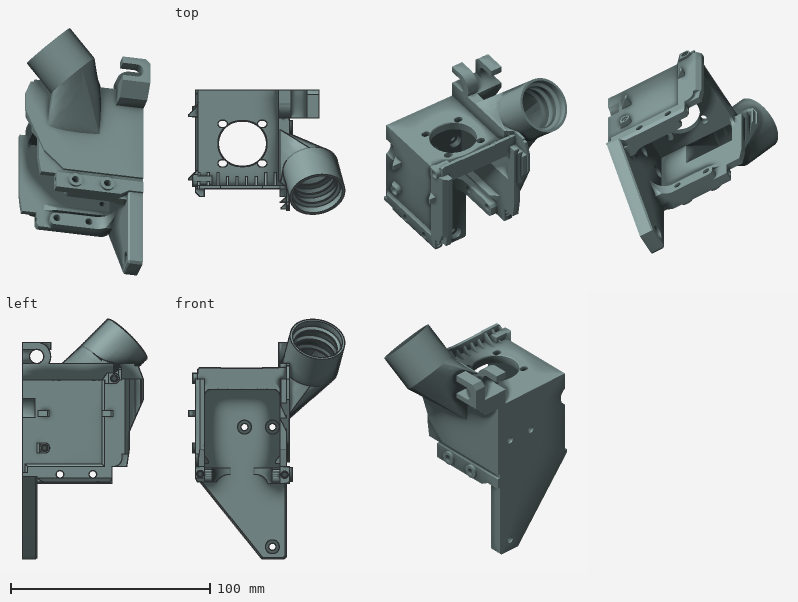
import cadquery as cq
import math


WALL_IN_L = 4.5
WALL_IN_R = 42.3
PANEL_X = 1.4
WALL_OUT_R = 45.7
FLANGE_OUT = 47.1
PLATE_T = 7.4
PLATE_FOOT = -0.25
PLATE_CHAMFER = 0.8
PLATE_SHOULDER_Z = 41.2
NOTCH_Z = 43.2
ROOF_TOP = 89.4
ROOF_BOTTOM = 84.8
LINTEL_TOP = 95.7
LINTEL_BACK = -48.1
LINTEL_FRONT = -49.7
POST_FRONT = -53.6
POST_TOP = 89.9
FLANGE_FRONT = -60.6
POST_TAPER_Z = 54.6
POST_FOOT_FRONT = -52.3
WALL_BOTTOM = 46.1
SILL_FRONT = -44.9
SILL_BOTTOM_L = 38.4
SILL_BACK_Z = 40.3
SILL_BOTTOM_R = 37.7
CREST_TOP = 97.8
CREST_LEFT = 41.7
CREST_FRONT = -48.7
CREST_BEVEL_Y = -45.6

FAN_X, FAN_Y = 23.6, -27.0
FAN_D = 22.4
FAN_STRETCH = 1.6
FAN_CHAMFER = 0.4
FAN_SCREW_OFFSET = 9.9
FAN_SCREW_D = 3.5
FAN_SCREW_STRETCH = 1.2

MOUNT_D, MOUNT_HEAD_D, MOUNT_HEAD_DEPTH = 3.5, 7.0, 3.0
MOUNT_POINTS = [(24.6, 65.9), (38.6, 65.9), (38.6, 5.9)]

PIVOT_D = 3.7
PIVOT_BOSS_D = 7.0
PIVOT_BOSS_L = 1.5
PIVOT_Y = [-18.8, -35.3]
PIVOT_Z = 42.2
BAR_T = 3.9

INSERT_D, INSERT_HOLE_D, INSERT_LEAD_D = 5.2, 2.6, 3.7
INSERT_LEAD_DEPTH, INSERT_DEPTH = 1.0, 6.0
INSERT_FACE_X = -1.45
ROOF_INSERT = (-46.0, 90.3)
WALL_INSERT = (-11.1, 55.4)
SILL_INSERTS = [(2.4, 42.4), (44.75, 42.0)]

HOSE_D, HOSE_BORE, THREAD_D, THROAT_D = 28.0, 25.5, 22.0, 24.6
HOSE_L = 19.5
DUCT_WALL = 1.5
HOSE_TILT = 15.0
RIM = cq.Vector(61.2, -52.4, 109.95)
AXIS = cq.Vector(math.tan(math.radians(HOSE_TILT)), -1, 1).normalized()

CLIP_Y, CLIP_Z = -7.1, 101.3
CLIP_R, CLIP_BORE_R = 7.1, 3.5
CLIP_W = 6.1
CLIP_CORNER = 2.4
CLIP_END = 62.0


def box(x0, x1, y0, y1, z0, z1):
    return cq.Workplane("XY").box(x1 - x0, y1 - y0, z1 - z0, centered=False).translate((x0, y0, z0))


def along_x(points, x0, x1):
    """Prism along X from an outline of (y, z) points."""
    return cq.Workplane("YZ", origin=(x0, 0, 0)).polyline(points).close().extrude(x1 - x0)


def along_y(points, y0, y1):
    """Prism along Y from an outline of (x, z) points, y1 nearer the front."""
    return cq.Workplane("XZ", origin=(0, y0, 0)).polyline(points).close().extrude(y0 - y1)


def along_z(points, z0, z1):
    """Prism along Z from an outline of (x, y) points."""
    return cq.Workplane("XY", origin=(0, 0, z0)).polyline(points).close().extrude(z1 - z0)


def rod_x(diameter, y, z, x0, x1):
    return cq.Workplane("YZ", origin=(x0, y, z)).circle(diameter / 2).extrude(x1 - x0)


def rod_y(diameter, x, z, y0, length):
    """Cylinder from y0 toward the back."""
    return cq.Workplane("XZ", origin=(x, y0, z)).circle(diameter / 2).extrude(-length)


def mounting_plate():
    corner = 1.2
    foot_left = 33.3
    outline = [
        (PANEL_X, ROOF_TOP), (PANEL_X, NOTCH_Z), (0, NOTCH_Z), (0, PLATE_SHOULDER_Z),
        (foot_left, PLATE_FOOT), (WALL_OUT_R - corner, PLATE_FOOT), (WALL_OUT_R, PLATE_FOOT + corner),
        (WALL_OUT_R, ROOF_TOP),
    ]
    plate = along_y(outline, 0, -PLATE_T)
    return plate.faces("<Y").chamfer(PLATE_CHAMFER)


def left_wall():
    """Side wall with a recessed outer panel framed by the front post and the sill."""
    bevel = PANEL_X
    frame_back = -41.2
    notch_y = -2.6
    side = along_x(wall_outline(), 0, WALL_IN_L)
    nose = 2.2
    plan = along_z([(PANEL_X, 0), (PANEL_X, frame_back + bevel), (0, frame_back), (0, POST_FRONT + nose),
                    (nose, POST_FRONT), (WALL_IN_L, POST_FRONT), (WALL_IN_L, 0)], WALL_BOTTOM, POST_TOP)
    wall = side.intersect(plan).cut(post_foot_relief())

    bevel_top = WALL_BOTTOM + bevel
    lip = 1.0
    sill = along_y([(0, WALL_BOTTOM), (PANEL_X, bevel_top), (WALL_IN_L, bevel_top),
                    (WALL_IN_L, SILL_BOTTOM_L), (lip, SILL_BOTTOM_L), (0, SILL_BACK_Z)], 0, SILL_FRONT)
    sill = sill.cut(along_z([(0, 0), (PANEL_X, 0), (PANEL_X, notch_y + bevel), (0, notch_y)],
                            NOTCH_Z, bevel_top))
    sill = sill.cut(along_x([(0, PLATE_SHOULDER_Z), (-PLATE_T, PLATE_SHOULDER_Z), (-PLATE_T, SILL_BACK_Z),
                             (-10.2, SILL_BOTTOM_L), (0, SILL_BOTTOM_L)], 0, WALL_IN_L))
    sill = sill.cut(along_x([(SILL_FRONT, SILL_BACK_Z), (SILL_FRONT + lip, SILL_BOTTOM_L),
                             (SILL_FRONT, SILL_BOTTOM_L)], 0, WALL_IN_L))
    return wall.union(sill)


def post_foot_relief():
    """Shallow recess with a rounded inner corner at the foot of the left post."""
    depth, top, back, r = 1.5, 52.3, -49.9, 4.4
    mid = r * math.sqrt(0.5)
    return (cq.Workplane("YZ").moveTo(POST_FRONT, top).lineTo(back, top)
            .lineTo(back, WALL_BOTTOM + r)
            .threePointArc((back + r - mid, WALL_BOTTOM + r - mid), (back + r, WALL_BOTTOM))
            .lineTo(POST_FRONT, WALL_BOTTOM).close().extrude(depth))


def wall_outline():
    """Side profile (y, z) of a side wall with its tapered front post."""
    return [(0, ROOF_TOP), (LINTEL_FRONT, ROOF_TOP), (LINTEL_FRONT, POST_TOP), (POST_FRONT, POST_TOP),
            (POST_FRONT, POST_TAPER_Z), (POST_FOOT_FRONT, WALL_BOTTOM), (0, WALL_BOTTOM)]


def flange_outline():
    """Side profile (y, z) of the thin flange outside the right wall."""
    step_y = -56.2
    low = 48.5
    return [(0, CREST_TOP), (step_y, CREST_TOP), (step_y, 96.7), (-58.1, 96.5), (FLANGE_FRONT, 90.0),
            (FLANGE_FRONT, 79.7), (-51.0, 57.8), (-41.0, low), (0, low)]


def right_wall():
    wall = along_x(wall_outline(), WALL_IN_R, WALL_OUT_R)
    wall = wall.union(along_x(flange_outline(), WALL_OUT_R, FLANGE_OUT))
    crest = along_z([(CREST_LEFT, 0), (CREST_LEFT, CREST_BEVEL_Y), (WALL_OUT_R, CREST_FRONT),
                     (WALL_OUT_R, 0)], ROOF_BOTTOM, CREST_TOP)
    sill = along_x([(0, WALL_BOTTOM), (SILL_FRONT, WALL_BOTTOM), (SILL_FRONT, SILL_BOTTOM_R),
                    (-11.8, SILL_BOTTOM_R), (-PLATE_T, SILL_BACK_Z), (0, SILL_BACK_Z)], WALL_IN_R, FLANGE_OUT)
    return wall.union(crest).union(sill).union(sealing_fins())


def sealing_fins():
    """Two upright sawtooth fins on the flange, ending on its sloping edge."""
    low, first, second, blunt = 60.0, -56.5, -59.8, 0.7
    fins = along_z([(WALL_OUT_R, POST_FRONT), (WALL_IN_R, first), (WALL_OUT_R, first)], low, POST_TOP)
    tip_x = 43.0
    fins = fins.union(along_z([(WALL_OUT_R, first), (tip_x, second + blunt), (tip_x, second),
                               (WALL_OUT_R, second)], low, POST_TOP))
    return fins.intersect(along_x(flange_outline(), WALL_IN_R, WALL_OUT_R))


def lintel():
    """Upright strip over the front opening, propped by a row of gussets on the roof."""
    left, corner = 1.1, 1.0
    dip_x, dip_w, dip = 12.7, 21.0, 0.3
    strip = along_y([(left, ROOF_BOTTOM), (left, LINTEL_TOP - corner), (left + corner, LINTEL_TOP),
                     (dip_x, LINTEL_TOP), (dip_x, LINTEL_TOP - dip), (dip_x + dip_w, LINTEL_TOP - dip),
                     (dip_x + dip_w, LINTEL_TOP), (WALL_OUT_R, LINTEL_TOP), (WALL_OUT_R, ROOF_BOTTOM)],
                    LINTEL_BACK, LINTEL_FRONT)
    thickness, pitch, first, count = 1.1, 4.8, 1.66, 9
    long_reach, short_reach, rise = 6.6, 4.7, 0.8
    short_ones = range(3, 7)
    for i in range(count):
        reach = short_reach if i in short_ones else long_reach
        x = first + i * pitch
        shape = [(LINTEL_BACK, ROOF_TOP), (LINTEL_BACK + reach, ROOF_TOP),
                 (LINTEL_BACK, ROOF_TOP + rise * reach)]
        strip = strip.union(along_x(shape, x - thickness / 2, x + thickness / 2))
    return strip


def corner_webs():
    """Rounded upper corners of the front opening."""
    r = 3.4
    opening_low = ROOF_BOTTOM - 3 * r
    web = box(WALL_IN_L, WALL_IN_R, LINTEL_FRONT, LINTEL_BACK, ROOF_BOTTOM - r, ROOF_BOTTOM)
    opening = box(WALL_IN_L, WALL_IN_R, LINTEL_FRONT, LINTEL_BACK, opening_low, ROOF_BOTTOM)
    return web.cut(opening.edges("|Y and >Z").fillet(r))


def pivot_bar(wall_x, side, bottom):
    """Bar inside a sill with a rounded front end, flared into the mounting plate."""
    top = 45.3
    flare = 9.0
    nose = PIVOT_Y[1] - PIVOT_BOSS_D / 2
    edge = wall_x + side * BAR_T
    tip = edge + side * flare
    bar = (cq.Workplane("YZ", origin=(min(wall_x, edge), 0, 0))
           .moveTo(-PLATE_T, top).lineTo(nose + 7.8, top).lineTo(nose + 1.4, top - 0.7)
           .lineTo(nose + 0.2, top - 1.8).lineTo(nose, PIVOT_Z).lineTo(nose, PIVOT_Z - 1.1)
           .threePointArc((nose + 0.5, bottom + 0.9), (nose + 1.8, bottom))
           .lineTo(-PLATE_T, bottom).close().extrude(BAR_T))

    toward_corner = 1 - math.sqrt(0.5)
    corner = (cq.Workplane("XY", origin=(0, 0, bottom))
              .moveTo(edge, -PLATE_T).lineTo(tip, -PLATE_T)
              .threePointArc((edge + side * flare * toward_corner, -PLATE_T - flare * toward_corner),
                             (edge, -PLATE_T - flare))
              .close().extrude(top - bottom))
    tip_z = 42.2
    scoop_start, scoop_mid, scoop_mid_z = 2.0, 4.3, 40.8
    scoop = (cq.Workplane("XZ")
             .moveTo(edge + side * scoop_start, bottom)
             .threePointArc((edge + side * scoop_mid, scoop_mid_z), (tip, tip_z))
             .lineTo(tip, bottom).close().extrude(PLATE_T + flare))
    return bar.union(corner.cut(scoop))


def inner_ledge(wall_x, side):
    """Triangular ledge low on the inner face of a side wall, tapering out at its front end."""
    low, shoulder, high, reach = 47.7, 49.0, 51.5, 2.1
    front, taper = -41.0, 6.0
    tip = wall_x + side * reach
    ledge = along_y([(wall_x, low), (tip, low), (tip, shoulder), (wall_x, high)], -PLATE_T, front)
    plan = along_z([(wall_x, -PLATE_T), (tip, -PLATE_T), (tip, front + taper), (wall_x, front)], low, high)
    return ledge.intersect(plan)


def cable_hooks():
    """Sawtooth hooks on the outside of the left wall."""
    tip_x, root_x, blunt, slant = -3.4, 2.0, 0.9, 6.1
    low, high = 71.3, 74.3
    hooks = []
    for edge_y in (-13.4, -45.3):
        hook = along_z([(root_x, edge_y + slant), (tip_x, edge_y + blunt), (tip_x, edge_y),
                        (root_x, edge_y)], low, high)
        hooks.append(hook)
    return hooks


def roof_insert_boss():
    roof_y, roof_z = ROOF_INSERT
    r = INSERT_D / 2
    end_x, flat_y, slope_y, foot_y = 8.4, -43.1, -42.4, -39.8
    boss = rod_x(INSERT_D, roof_y, roof_z, INSERT_FACE_X, end_x)
    boss = boss.union(box(PANEL_X, end_x, roof_y, flat_y, ROOF_TOP, roof_z + r))
    wedge = along_z([(PANEL_X, roof_y), (INSERT_FACE_X, roof_y), (INSERT_FACE_X, flat_y),
                     (PANEL_X, foot_y)], roof_z - r, roof_z + r)
    slope = along_x([(roof_y, roof_z - r), (roof_y, roof_z + r), (slope_y, roof_z + r),
                     (foot_y, ROOF_TOP), (foot_y, roof_z - r)], INSERT_FACE_X, PANEL_X)
    return boss.union(wedge.intersect(slope))


def wall_insert_boss():
    wall_y, wall_z = WALL_INSERT
    r = INSERT_D / 2
    boss = rod_x(INSERT_D, wall_y, wall_z, INSERT_FACE_X, PANEL_X)
    wedge = along_z([(PANEL_X, wall_y), (INSERT_FACE_X, wall_y), (INSERT_FACE_X, -9.4),
                     (-1.0, -8.5), (PANEL_X, -7.2)], wall_z - r, wall_z + r)
    return boss.union(wedge)


def ring_about_axis(points):
    """Revolve an outline of (radius, depth below the rim) points about the hose axis."""
    across = cq.Vector(1, 0, -AXIS.x / AXIS.z)
    plane = cq.Plane(origin=RIM.toTuple(), xDir=across.toTuple(), normal=across.cross(AXIS).toTuple())
    outline = [(radius, -depth) for radius, depth in points]
    return cq.Workplane(plane).polyline(outline).close().revolve(360, (0, 0), (0, 1))


def duct_loft(diameter, inset, top):
    """Transition from a rectangular port in the right wall to the hose socket."""
    front, back = -49.5 + inset, -19.9 - inset
    bottom = 66.0 + inset
    center = (WALL_IN_R, (front + back) / 2, (bottom + top) / 2)
    port = cq.Plane(origin=center, xDir=(0, -1, 0), normal=(1, 0, 0))
    end = cq.Plane(origin=(RIM - AXIS * HOSE_L).toTuple(), xDir=(0, -1, -1), normal=AXIS.toTuple())
    rect = cq.Workplane(port).rect(back - front, top - bottom).wires().val()
    circle = cq.Workplane(end).circle(diameter / 2).wires().val()
    return cq.Workplane(cq.Solid.makeLoft([rect, circle], True))


def hose_socket():
    body = ring_about_axis([(0, 0), (HOSE_D / 2, 0), (HOSE_D / 2, HOSE_L), (0, HOSE_L)])
    duct = duct_loft(HOSE_D, 0, CREST_TOP)
    beyond_bevel = along_z([(CREST_LEFT, CREST_BEVEL_Y), (WALL_OUT_R, CREST_FRONT),
                            (CREST_LEFT, CREST_FRONT)], ROOF_TOP, RIM.z)
    return body.union(duct.cut(beyond_bevel))


def hose_passage():
    bore, thread = HOSE_BORE / 2, THREAD_D / 2
    ridge, crest, ridge_depths = 2.4, 0.8, (3.9, 10.4, 16.9)
    slope = (ridge - crest) / 2
    outline = [(0, 0), (bore, 0)]
    for depth in ridge_depths:
        outline += [(bore, depth), (thread, depth + slope), (thread, depth + slope + crest),
                    (bore, depth + ridge)]
    outline += [(bore, HOSE_L), (0, HOSE_L)]
    return ring_about_axis(outline).union(duct_loft(THROAT_D, DUCT_WALL, ROOF_BOTTOM))


def clip_hook(x0, mouth_y):
    """C-shaped hook around the clip axis, open toward the given Y side."""
    depth = CLIP_Y - CLIP_R
    near, far = sorted((mouth_y, CLIP_Y))
    top = CLIP_Z + CLIP_R
    bore = rod_x(2 * CLIP_BORE_R, CLIP_Y, CLIP_Z, x0, x0 + CLIP_W)
    bore = bore.union(box(x0, x0 + CLIP_W, near, far, CLIP_Z - CLIP_BORE_R, CLIP_Z + CLIP_BORE_R))
    body = box(x0, x0 + CLIP_W, depth, 0, CREST_TOP, top)
    if mouth_y == 0:
        body = rod_x(2 * CLIP_R, CLIP_Y, CLIP_Z, x0, x0 + CLIP_W).intersect(body)
        body = body.union(box(x0, x0 + CLIP_W, CLIP_Y, 0, CREST_TOP, top))
    else:
        body = body.edges("|X and >Z and >Y").chamfer(CLIP_CORNER)
    return body.cut(bore)


def hose_clips():
    """Two opposed C-hooks on a bracket reaching out from the crest."""
    depth = CLIP_Y - CLIP_R
    bottom, end_bottom, brace_x = 88.5, 95.0, 55.5
    bracket = along_y([(WALL_OUT_R, CREST_TOP), (CLIP_END, CREST_TOP), (CLIP_END, end_bottom),
                       (brace_x, bottom), (WALL_OUT_R, bottom)], 0, depth)
    return bracket.union(clip_hook(CREST_LEFT, 0)).union(clip_hook(CLIP_END - CLIP_W, depth))


def fan_cutters():
    depth = ROOF_TOP - ROOF_BOTTOM
    top = cq.Workplane("XY", origin=(FAN_X, FAN_Y, ROOF_TOP))
    cutter = top.slot2D(FAN_D + FAN_STRETCH, FAN_D).extrude(-depth)
    rim_d = FAN_D + 2 * FAN_CHAMFER
    cutter = cutter.union(top.slot2D(rim_d + FAN_STRETCH, rim_d).extrude(-FAN_CHAMFER, taper=45))
    screws = top.rect(2 * FAN_SCREW_OFFSET, 2 * FAN_SCREW_OFFSET, forConstruction=True).vertices()
    return cutter.union(screws.slot2D(FAN_SCREW_D + FAN_SCREW_STRETCH, FAN_SCREW_D).extrude(-depth))


def insert_hole_x(y, z):
    hole = rod_x(INSERT_HOLE_D, y, z, INSERT_FACE_X, INSERT_FACE_X + INSERT_DEPTH)
    return hole.union(rod_x(INSERT_LEAD_D, y, z, INSERT_FACE_X, INSERT_FACE_X + INSERT_LEAD_DEPTH))


def insert_hole_y(x, z):
    hole = rod_y(INSERT_HOLE_D, x, z, SILL_FRONT, INSERT_DEPTH)
    return hole.union(rod_y(INSERT_LEAD_D, x, z, SILL_FRONT, INSERT_LEAD_DEPTH))


def cable_notch():
    """Round groove across the rear edge of the left wall."""
    diameter, length = 11.0, 6.3
    center_x, center_z = -1.4, 75.4
    return rod_y(diameter, center_x, center_z, -length, length)


part = mounting_plate().union(left_wall()).union(right_wall())
part = part.union(box(PANEL_X, WALL_OUT_R, LINTEL_FRONT, 0, ROOF_BOTTOM, ROOF_TOP))
part = part.union(lintel()).union(corner_webs())
part = part.union(pivot_bar(WALL_IN_L, 1, SILL_BOTTOM_L)).union(pivot_bar(WALL_IN_R, -1, SILL_BOTTOM_R))
part = part.union(inner_ledge(WALL_IN_L, 1)).union(inner_ledge(WALL_IN_R, -1))
for hook in cable_hooks():
    part = part.union(hook)
part = part.union(roof_insert_boss()).union(wall_insert_boss())
for pivot_y in PIVOT_Y:
    part = part.union(rod_x(PIVOT_BOSS_D, pivot_y, PIVOT_Z, FLANGE_OUT, FLANGE_OUT + PIVOT_BOSS_L))
part = part.union(hose_clips()).union(hose_socket())

part = part.cut(hose_passage()).cut(fan_cutters()).cut(cable_notch())
for pivot_y in PIVOT_Y:
    part = part.cut(rod_x(PIVOT_D, pivot_y, PIVOT_Z, 0, FLANGE_OUT + PIVOT_BOSS_L))
for hole_x, hole_z in MOUNT_POINTS:
    part = part.cut(rod_y(MOUNT_D, hole_x, hole_z, -PLATE_T, PLATE_T))
    part = part.cut(rod_y(MOUNT_HEAD_D, hole_x, hole_z, -PLATE_T, MOUNT_HEAD_DEPTH))
for insert_y, insert_z in (ROOF_INSERT, WALL_INSERT):
    part = part.cut(insert_hole_x(insert_y, insert_z))
for insert_x, insert_z in SILL_INSERTS:
    part = part.cut(insert_hole_y(insert_x, insert_z))

result = part